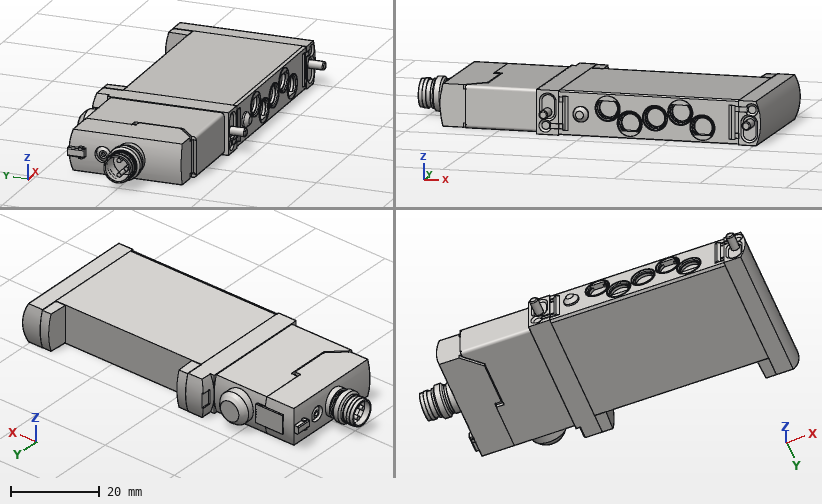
import cadquery as cq
import math

total_length = 83.1
total_height = 10.2
half_height = total_height / 2

cap_length = 5.15
cap_top_y = 33.15
cap_crown = 0.8
cap_end_bulge = 1.1
tab_top_y = 33.2
tab_length = 2.75
tab_tip_length = 2.5
tab_half_height = 5.0
pin_diameter = 2.0
pin_reach = 3.3
pin_edge = 0.25
pin_offset = 2.7
pocket_offset = 2.5
pocket_depth = 0.4
pocket_wide = 3.9
pocket_narrow = 3.0
pocket_straight = 2.5
pocket_shift = 1.25
vent_wide = 2.9
vent_narrow = 1.8
vent_offset = 3.1
vent_channel = 1.2
latch_notch_width = 3.8
latch_notch_depth = 0.5
latch_notch_bottom_y = 30.75

body_bottom_y = 0.2
body_top_y = 27.6
body_edge_y = 0.9
body_edge_inset = 0.25
joint_left = 35.9
joint_right = total_length - cap_length
body_center_x = (joint_left + joint_right) / 2
port_rim_diameter = 5.8
port_diameter = 4.8
port_mouth_diameter = 5.3
port_mouth_depth = 0.25
port_seat_depth = 0.7
port_hole_diameter = 4.2
port_depth = 1.3
port_flat_z = 3.3
port_inner_pitch = 5.9
port_outer_pitch = 11.05
port_stagger = 1.6
port_center_x = 58.4
nozzle_x = 41.1
nozzle_diameter = 3.6
nozzle_tip_diameter = 1.8
nozzle_collar_y = -0.25
nozzle_tip_y = -1.2
rib_start = 0.9
rib_width = 1.3
rib_height = 7.8
rib_crest_y = -0.21
body_channel_depth = 0.25

slim_half_height = 4.9
slim_top_y = 29.3
slim_crown = 0.75
pilot_left = 13.9
pilot_right = joint_left - cap_length
pilot_bottom_y = 1.0
pilot_edge_radius = 0.75
pilot_lead_half_height = 4.1
pilot_lead_length = 1.2
knob_x = 23.6
knob_diameter = 8.3
knob_top_y = 32.65
knob_face_diameter = 5.3
knob_shoulder_diameter = 7.0
knob_shoulder_drop = 0.75
knob_rim_drop = 1.7

plug_face_x = 7.65
plug_face_bulge = 0.7
plug_bottom_y = 2.2
step_x = 16.1
step_y = 17.5
lower_joint_x = 17.95
slope_top_y = 5.8
gap_depth = 1.0
gap_width = 0.25
step_gap_height = 1.0
slope_gap = 0.7
strip_start_x = 10.8
strip_end_x = 18.5
strip_half_height = 2.5
strip_bottom_y = 28.9
strip_top_y = 29.6
hook_x = 6.5
hook_bottom_y = 25.3
hook_top_y = 29.25
hook_half_height = 1.0
hook_edge = 0.25
nub_bottom_y = 25.8
nub_top_y = 26.7
nub_half_height = 1.3
override_y = 21.1
override_diameter = 3.8
override_tip_diameter = 1.8
override_tip_sink = 0.2
override_hole_diameter = 1.0
override_depth = 1.0

connector_y = 14.55
connector_bore = 5.8
connector_bore_depth = 5.0
contact_diameter = 1.0
contact_circle_radius = 1.75
contact_recess = 1.0
mouth_radius = 3.28
thread_radius = 3.45
neck_radius = 3.15
bead_radius = 4.0
flange_radius = 3.615
thread_start_x = 0.9
thread_end_x = 1.75
bead_collar_x = 2.8
bead_start_x = 3.3
bead_end_x = 5.5
bead_collar_end_x = 5.9
flange_start_x = 6.5
bead_slope = 0.4


def box(x_range, y_range, z_range):
    (x0, x1), (y0, y1), (z0, z1) = x_range, y_range, z_range
    return cq.Workplane("XY").box(x1 - x0, y1 - y0, z1 - z0, centered=False).translate((x0, y0, z0))


def both(half):
    return (-half, half)


def revolve_y(points, x, z=0):
    """Solid of revolution about a line along Y, from (radius, y) points."""
    profile = cq.Workplane("XY").polyline(points).close()
    return profile.revolve(360, (0, 0, 0), (0, 1, 0)).translate((x, 0, z))


def revolve_x(points, y):
    """Solid of revolution about a line along X, from (x, radius) points."""
    profile = cq.Workplane("XY").polyline(points).close()
    return profile.revolve(360, (0, 0, 0), (1, 0, 0)).translate((0, y, 0))


def crowned_bar(x_range, bottom_y, top_y, half, crown):
    """Bar along X with a convex +Y face."""
    x0, x1 = x_range
    edge_y = top_y - crown
    profile = cq.Workplane("YZ", origin=(x0, 0, 0)).moveTo(bottom_y, -half).lineTo(edge_y, -half)
    profile = profile.threePointArc((top_y, 0), (edge_y, half)).lineTo(bottom_y, half).close()
    return profile.extrude(x1 - x0)


def bulged_bar(flat_x, bulge_x, bulge, half, top_y):
    """Bar along Y, plane at flat_x and convex at bulge_x."""
    edge_x = bulge_x - math.copysign(bulge, bulge_x - flat_x)
    profile = cq.Workplane("XZ").moveTo(flat_x, -half).lineTo(edge_x, -half)
    profile = profile.threePointArc((bulge_x, 0), (edge_x, half)).lineTo(flat_x, half).close()
    return profile.extrude(-top_y)


def turn_to_left(shape):
    """Half turn about the Y line through the middle of the valve body."""
    return shape.rotate((body_center_x, 0, 0), (body_center_x, 1, 0), 180)


def cap_tab():
    """Tab that reaches back from the right cap over the +Y side of the valve body."""
    joint = joint_right
    bar = crowned_bar((joint - tab_length, joint), body_top_y, tab_top_y, tab_half_height, cap_crown)
    outline = [
        (joint, body_top_y),
        (joint, tab_top_y),
        (joint - tab_tip_length, tab_top_y),
        (joint - tab_length, body_top_y),
    ]
    return bar.intersect(cq.Workplane("XY").polyline(outline).close().extrude(half_height, both=True))


def cap_pocket():
    """Oval pocket with sloping walls around the pin."""
    center_z = -pocket_shift
    wall = math.degrees(math.atan2((pocket_wide - pocket_narrow) / 2, pocket_depth))
    return (
        cq.Workplane("XZ", origin=(joint_right + pocket_offset, 0, center_z))
        .slot2D(pocket_straight + pocket_wide, pocket_wide, 90)
        .extrude(-pocket_depth, taper=wall)
    )


def cap_vent():
    """Conical vent with its channel to the valve body."""
    x = joint_right + vent_offset
    cone = [(0, 0), (vent_wide / 2, 0), (vent_narrow / 2, pocket_depth), (0, pocket_depth)]
    channel = box(
        (joint_right, x),
        (0, body_channel_depth),
        (vent_offset - vent_channel / 2, vent_offset + vent_channel / 2),
    )
    return revolve_y(cone, x, vent_offset).union(channel)


def cap_pin():
    radius = pin_diameter / 2
    outline = [
        (0, pocket_depth),
        (radius, pocket_depth),
        (radius, pin_edge - pin_reach),
        (radius - pin_edge, -pin_reach),
        (0, -pin_reach),
    ]
    return revolve_y(outline, joint_right + pin_offset)


def end_cap(pilot_seat):
    """Cap at the +X end. With pilot_seat, its outer face is flat where the pilot housing meets it."""
    cap = crowned_bar((joint_right, total_length), 0, cap_top_y, half_height, cap_crown)
    cap = cap.intersect(bulged_bar(joint_right, total_length, cap_end_bulge, half_height, cap_top_y))
    if pilot_seat:
        cap = cap.union(box((joint_right, total_length), (0, slim_top_y), both(half_height)))
        cap = cap.cut(
            box(
                (total_length - latch_notch_depth, total_length),
                (latch_notch_bottom_y, cap_top_y),
                both(latch_notch_width / 2),
            )
        )
    cap = cap.union(cap_tab())
    cap = cap.cut(cap_pocket()).cut(cap_vent())
    return cap.union(cap_pin())


def port_places():
    """Five ports: one on the mid-plane, and a staggered pair on each side of it."""
    return [
        (port_center_x - port_outer_pitch, port_stagger),
        (port_center_x - port_inner_pitch, -port_stagger),
        (port_center_x, 0),
        (port_center_x + port_inner_pitch, port_stagger),
        (port_center_x + port_outer_pitch, -port_stagger),
    ]


def port_bore(x, z):
    radius = port_diameter / 2
    mouth = port_mouth_diameter / 2
    hole = port_hole_diameter / 2
    outline = [
        (0, 0),
        (mouth, 0),
        (radius, port_mouth_depth),
        (radius, port_seat_depth),
        (hole, port_seat_depth),
        (hole, port_depth),
        (0, port_depth),
    ]
    limit = box((joint_left, joint_right), (0, port_depth), both(port_flat_z))
    return revolve_y(outline, x, z).intersect(limit)


def sealing_rib():
    """Wedge-shaped rib across the mounting face, at the right joint."""
    outer = joint_right - rib_start
    outline = [
        (outer, body_bottom_y),
        (outer - rib_width / 2, rib_crest_y),
        (outer - rib_width, body_bottom_y),
    ]
    return cq.Workplane("XY").polyline(outline).close().extrude(rib_height / 2, both=True)


def body_channels():
    """Vent channels between the right joint and its rib."""
    channels = cq.Workplane("XY")
    for z in (-vent_offset, vent_offset):
        channels = channels.union(
            box(
                (joint_right - rib_start, joint_right),
                (body_bottom_y, body_bottom_y + body_channel_depth),
                (z - vent_channel / 2, z + vent_channel / 2),
            )
        )
    return channels


def nozzle():
    radius = nozzle_diameter / 2
    outline = [
        (0, body_bottom_y),
        (radius, body_bottom_y),
        (radius, nozzle_collar_y),
        (nozzle_tip_diameter / 2, nozzle_tip_y),
        (0, nozzle_tip_y),
    ]
    return revolve_y(outline, nozzle_x)


def valve_body():
    inset_half = half_height - body_edge_inset
    profile = [
        (body_bottom_y, -inset_half),
        (body_edge_y, -half_height),
        (body_top_y, -half_height),
        (body_top_y, half_height),
        (body_edge_y, half_height),
        (body_bottom_y, inset_half),
    ]
    body = cq.Workplane("YZ", origin=(joint_left, 0, 0)).polyline(profile).close()
    body = body.extrude(joint_right - joint_left)
    for x, z in port_places():
        rim = cq.Workplane("XZ", origin=(x, 0, z)).circle(port_rim_diameter / 2).extrude(-body_edge_y)
        body = body.union(rim)
    for x, z in port_places():
        body = body.cut(port_bore(x, z))
    body = body.union(nozzle())
    for place in (lambda shape: shape, turn_to_left):
        body = body.union(place(sealing_rib())).cut(place(body_channels()))
    return body


def lock_strip():
    """Strip of the plug that lies over the edge of the pilot housing."""
    return box((strip_start_x, strip_end_x), (strip_bottom_y, strip_top_y), both(strip_half_height))


def joint_outline(gap, step_gap, slope_shift):
    """Joint line of plug and pilot from its +Y end down, drawn back towards the plug by the gaps."""
    x = lower_joint_x - gap
    slope_bottom_y = plug_bottom_y
    run = lower_joint_x - pilot_left
    rise = slope_top_y - slope_bottom_y
    cut_back = slope_shift * run / rise
    return [
        (step_x, slim_top_y),
        (step_x, step_y - step_gap),
        (x, step_y - step_gap),
        (x, slope_top_y + slope_shift - gap * rise / run),
        (pilot_left - cut_back, slope_bottom_y),
    ]


def connector():
    """Turned outside of the round connector, with a bore open to -X and its three contacts."""
    outline = [
        (0, 0),
        (0, mouth_radius),
        (thread_start_x, mouth_radius),
        (thread_start_x, thread_radius),
        (thread_end_x, thread_radius),
        (thread_end_x, neck_radius),
        (bead_collar_x, neck_radius),
        (bead_collar_x, thread_radius),
        (bead_start_x, thread_radius),
        (bead_start_x + bead_slope, bead_radius),
        (bead_end_x - bead_slope, bead_radius),
        (bead_end_x, thread_radius),
        (bead_collar_end_x, thread_radius),
        (bead_collar_end_x, neck_radius),
        (flange_start_x, neck_radius),
        (flange_start_x, flange_radius),
        (plug_face_x + plug_face_bulge, flange_radius),
        (plug_face_x + plug_face_bulge, 0),
    ]
    mouth = cq.Workplane("YZ", origin=(0, connector_y, 0))
    turned = revolve_x(outline, connector_y)
    turned = turned.cut(mouth.circle(connector_bore / 2).extrude(connector_bore_depth))
    places = [(0, contact_circle_radius), (-contact_circle_radius, 0), (0, -contact_circle_radius)]
    contacts = (
        cq.Workplane("YZ", origin=(contact_recess, connector_y, 0))
        .pushPoints(places)
        .circle(contact_diameter / 2)
        .extrude(connector_bore_depth - contact_recess)
    )
    return turned.union(contacts)


def plug_hook():
    """Small latch hook on the face of the plug, with a nub on each side."""
    inner_x = plug_face_x + plug_face_bulge
    hook = box((hook_x, inner_x), (hook_bottom_y, hook_top_y), both(hook_half_height))
    hook = hook.edges("<X and |Y").chamfer(hook_edge)
    nubs = box((hook_x + hook_edge, inner_x), (nub_bottom_y, nub_top_y), both(nub_half_height))
    return hook.union(nubs)


def override_recess():
    """Round recess around a cone-shaped manual override with a center hole."""
    floor_x = plug_face_x + override_depth
    radius = override_diameter / 2
    tip = override_tip_diameter / 2
    hole = override_hole_diameter / 2
    outline = [
        (hook_x, 0),
        (hook_x, radius),
        (floor_x, radius),
        (plug_face_x + override_tip_sink, tip),
        (plug_face_x + override_tip_sink, hole),
        (floor_x, hole),
        (floor_x, 0),
    ]
    return revolve_x(outline, override_y)


def plug_slab(joint, half):
    """Slab between the plug's -X face and the joint line, both sides of the mid-plane."""
    outline = [(plug_face_x, plug_bottom_y), (plug_face_x, slim_top_y)] + joint
    return cq.Workplane("XY").polyline(outline).close().extrude(half, both=True)


def connector_plug():
    core = plug_slab(joint_outline(0, 0, 0), slim_half_height - gap_depth)
    sides = plug_slab(joint_outline(gap_width, step_gap_height, slope_gap), slim_half_height)
    bar = crowned_bar((plug_face_x, lower_joint_x), plug_bottom_y, slim_top_y, slim_half_height, slim_crown)
    face = bulged_bar(lower_joint_x, plug_face_x, plug_face_bulge, slim_half_height, slim_top_y)
    plug = core.union(sides).intersect(bar).intersect(face)
    plug = plug.union(lock_strip()).union(plug_hook())
    return plug.cut(override_recess()).union(connector())


def knob():
    """Round knob along +Y with a two-step beveled end."""
    base_y = slim_top_y - slim_crown
    outline = [
        (0, base_y),
        (knob_diameter / 2, base_y),
        (knob_diameter / 2, knob_top_y - knob_rim_drop),
        (knob_shoulder_diameter / 2, knob_top_y - knob_shoulder_drop),
        (knob_face_diameter / 2, knob_top_y),
        (0, knob_top_y),
    ]
    return revolve_y(outline, knob_x)


def pilot_lead_in():
    """Slope on the middle of the pilot's lower -X edge, just below the plug."""
    outline = [
        (pilot_left, pilot_bottom_y),
        (pilot_left + pilot_lead_length, plug_bottom_y),
        (pilot_left, plug_bottom_y),
    ]
    return cq.Workplane("XY").polyline(outline).close().extrude(pilot_lead_half_height, both=True)


def pilot_housing():
    outline = joint_outline(0, 0, 0) + [
        (pilot_left, pilot_bottom_y),
        (pilot_right, pilot_bottom_y),
        (pilot_right, slim_top_y),
    ]
    housing = cq.Workplane("XY").polyline(outline).close().extrude(slim_half_height, both=True)
    bar = crowned_bar((pilot_left, pilot_right), pilot_bottom_y, slim_top_y, slim_half_height, slim_crown)
    bar = bar.edges("<Y and |X").fillet(pilot_edge_radius)
    return housing.intersect(bar).cut(pilot_lead_in()).union(knob()).cut(lock_strip())


right_cap = end_cap(pilot_seat=False)
left_cap = turn_to_left(end_cap(pilot_seat=True))
valve = valve_body()
pilot = pilot_housing()
plug = connector_plug()

result = cq.Compound.makeCompound([plug.val(), pilot.val(), left_cap.val(), valve.val(), right_cap.val()])